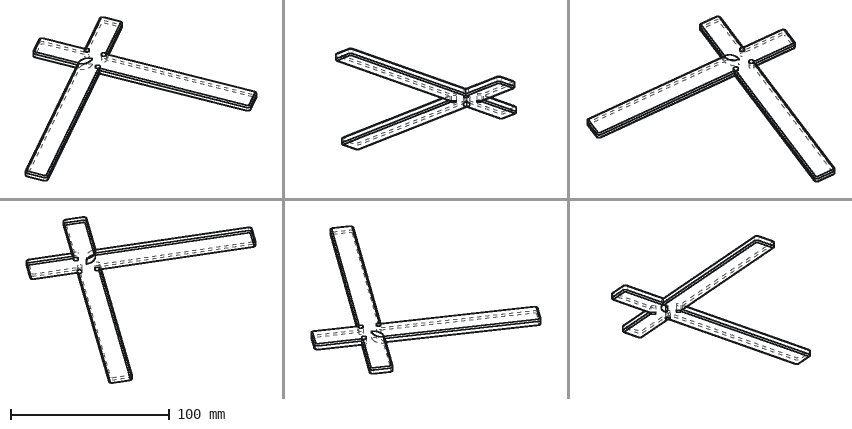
import cadquery as cq
import math

overall_length = 145.0
thickness = 5.0
bar_width = 15.0
short_arm = 30.0
end_radius = 2.0
edge_chamfer = 1.0

hole_diameter = 3.0
hole_offset = 5.7
leaf_size = 7.0

short_reach = short_arm + bar_width / 2
bar_shift = overall_length / 2 - short_reach


def make_bar(length_x, length_y, center_x, center_y):
    """Flat bar with rounded upright edges."""
    return (
        cq.Workplane("XY")
        .center(center_x, center_y)
        .rect(length_x, length_y)
        .extrude(thickness)
        .edges("|Z")
        .fillet(end_radius)
    )


def make_leaf():
    """Cutter bounded by two quarter circles that meet in two points."""
    outer_tip = -leaf_size
    bulge = leaf_size * math.sqrt(0.5)
    far = -bulge
    near = outer_tip + bulge
    return (
        cq.Workplane("XY")
        .moveTo(outer_tip, outer_tip)
        .threePointArc((far, near), (0, 0))
        .threePointArc((near, far), (outer_tip, outer_tip))
        .close()
        .extrude(thickness)
    )


x_bar = make_bar(overall_length, bar_width, bar_shift, 0)
y_bar = make_bar(bar_width, overall_length, 0, -bar_shift)
cross = x_bar.union(y_bar).clean()
cross = cross.faces("<Z or >Z").chamfer(edge_chamfer)

hole_centers = [
    (-hole_offset, hole_offset),
    (hole_offset, hole_offset),
    (hole_offset, -hole_offset),
]
holes = (
    cq.Workplane("XY")
    .pushPoints(hole_centers)
    .circle(hole_diameter / 2)
    .extrude(thickness)
)

result = cross.cut(holes).cut(make_leaf())